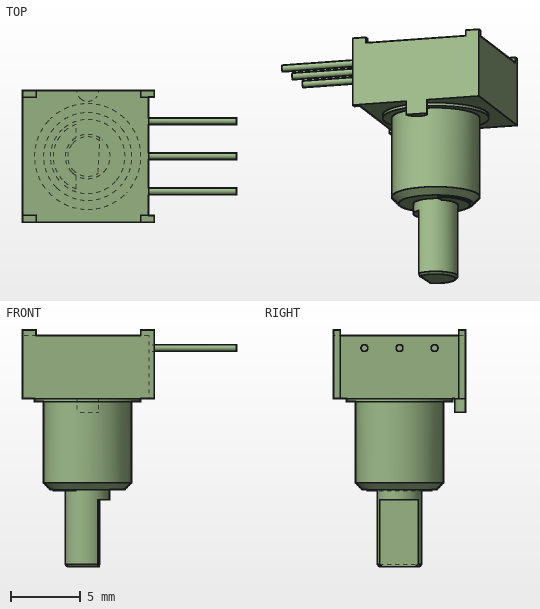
import cadquery as cq
import math


total_height = 17.12
total_length = 15.5
body_width = 9.54

axis_to_left_face = 4.7
foot_length = 1.0
foot_width = 0.5
foot_height = 0.41
housing_depth = 4.96
recess_depth = 0.41

pin_diameter = 0.5
pin_pitch = 2.53
pin_drop = 1.32
pin_root = 0.35

peg_radius = 0.79
peg_length = 1.0

flange_radius = 3.83
flange_thickness = 0.22
bushing_radius = 3.18
bushing_length = 6.35
bushing_chamfer = 0.5

pad_radius = 2.48
pad_thickness = 0.1
pad_chord_distance = 0.85

shaft_radius = 1.61
shaft_chamfer = 0.17
flat_length = 4.83
flat_distance = shaft_radius / 2
flat_tilt = 2.8

left_face = -axis_to_left_face
right_face = left_face + body_width
pin_face = right_face - recess_depth
pin_end = left_face + total_length
housing_bottom = total_height - housing_depth
housing_top = total_height - foot_height
flange_bottom = housing_bottom - flange_thickness
bushing_end = flange_bottom - bushing_length


def block(x_min, x_max, y_min, y_max, z_min, z_max):
    """Box given by its limits along each axis."""
    size = (x_max - x_min, y_max - y_min, z_max - z_min)
    return cq.Workplane("XY").box(*size, centered=False).translate((x_min, y_min, z_min))


def cylinder(radius, z_min, z_max):
    """Upright cylinder on the shaft axis."""
    return cq.Workplane("XY").workplane(offset=z_min).circle(radius).extrude(z_max - z_min)


def make_housing():
    half_width = body_width / 2
    inner_half_width = half_width - foot_width
    blank = block(left_face, right_face, -half_width, half_width, housing_bottom, total_height)
    channel_x = block(left_face, right_face, -inner_half_width, inner_half_width, housing_top, total_height)
    channel_y = block(
        left_face + foot_length, right_face - foot_length, -half_width, half_width, housing_top, total_height
    )
    recess = block(
        pin_face, right_face, -inner_half_width, inner_half_width, housing_bottom, total_height
    )
    return blank.cut(channel_x).cut(channel_y).cut(recess)


def make_pins():
    pin_start = pin_face - pin_root
    return (
        cq.Workplane("YZ", origin=(pin_start, 0, total_height - pin_drop))
        .pushPoints([(-pin_pitch, 0), (0, 0), (pin_pitch, 0)])
        .circle(pin_diameter / 2)
        .extrude(pin_end - pin_start)
    )


def make_peg():
    return (
        cq.Workplane("XY", origin=(0, body_width / 2, housing_bottom))
        .moveTo(-peg_radius, 0)
        .threePointArc((0, -peg_radius), (peg_radius, 0))
        .close()
        .extrude(-peg_length)
    )


def make_bushing():
    flange = cylinder(flange_radius, flange_bottom, housing_bottom)
    barrel = cylinder(bushing_radius, bushing_end, flange_bottom)
    return flange.union(barrel.faces("<Z").chamfer(bushing_chamfer))


def make_pad():
    half_chord = math.sqrt(pad_radius**2 - pad_chord_distance**2)
    return (
        cq.Workplane("XY", origin=(0, 0, bushing_end))
        .moveTo(-pad_chord_distance, -half_chord)
        .threePointArc((-pad_radius, 0), (-pad_chord_distance, half_chord))
        .close()
        .extrude(-pad_thickness)
    )


def make_shaft():
    shaft = cylinder(shaft_radius, 0, bushing_end).faces("<Z").chamfer(shaft_chamfer)
    waste = block(flat_distance, 2 * shaft_radius, -shaft_radius, shaft_radius, 0, flat_length)
    return shaft.cut(waste.rotate((0, 0, 0), (0, 0, 1), -flat_tilt))


result = (
    make_housing()
    .union(make_pins())
    .union(make_peg())
    .union(make_bushing())
    .union(make_pad())
    .union(make_shaft())
)